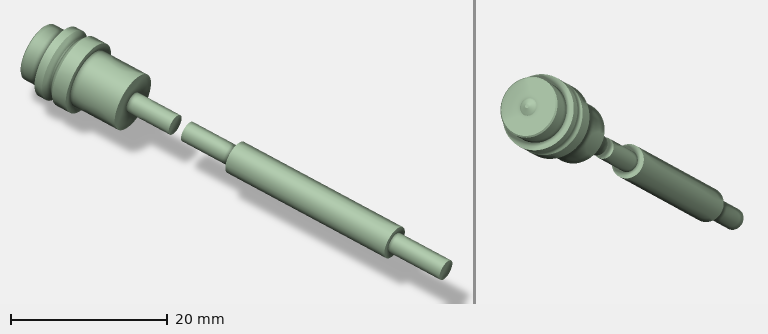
import cadquery as cq


tip_radius = 0.25
nose_radius = 1.15
barrel_radius = 4.0
flange_radius = 5.0
stem_radius = 1.4

face_x = 0.45
flange_start_x = 3.5
groove_start_x = 4.65
flange_end_x = 8.4
barrel_end_x = 15.35
stem_end_x = 22.0

face_chamfer = 0.2
groove_depth = 0.7
groove_floor_width = 0.2

probe_start_x = 23.9
sleeve_start_x = 31.5
sleeve_end_x = 56.45
probe_end_x = 64.5
sleeve_radius = 2.25


def cylinder(radius, start_x, end_x):
    """Solid cylinder on the X axis."""
    return cq.Workplane("YZ").workplane(offset=start_x).circle(radius).extrude(end_x - start_x)


def make_nose():
    """Low truncated cone standing on the front face."""
    profile = [(0, 0), (0, tip_radius), (face_x, nose_radius), (face_x, 0)]
    return cq.Workplane("XY").polyline(profile).close().revolve(360, (0, 0), (1, 0))


def make_groove_cutter():
    """Ring of trapezoid section that cuts the groove around the flange."""
    floor_radius = flange_radius - groove_depth
    floor_start_x = groove_start_x + groove_depth
    floor_end_x = floor_start_x + groove_floor_width
    groove_end_x = floor_end_x + groove_depth
    profile = [
        (groove_start_x, flange_radius),
        (floor_start_x, floor_radius),
        (floor_end_x, floor_radius),
        (groove_end_x, flange_radius),
    ]
    return cq.Workplane("XY").polyline(profile).close().revolve(360, (0, 0), (1, 0))


def make_plunger():
    """Flanged head with a conical nose and a rear stem."""
    barrel = cylinder(barrel_radius, face_x, barrel_end_x).faces("<X").chamfer(face_chamfer)
    flange = cylinder(flange_radius, flange_start_x, flange_end_x).cut(make_groove_cutter())
    stem = cylinder(stem_radius, barrel_end_x, stem_end_x)
    return barrel.union(flange).union(stem).union(make_nose())


def make_probe():
    """Long rod, as thick as the plunger stem, with a thicker middle sleeve."""
    rod = cylinder(stem_radius, probe_start_x, probe_end_x)
    sleeve = cylinder(sleeve_radius, sleeve_start_x, sleeve_end_x)
    return rod.union(sleeve)


plunger = make_plunger()
probe = make_probe()

result = cq.Compound.makeCompound([plunger.val(), probe.val()])